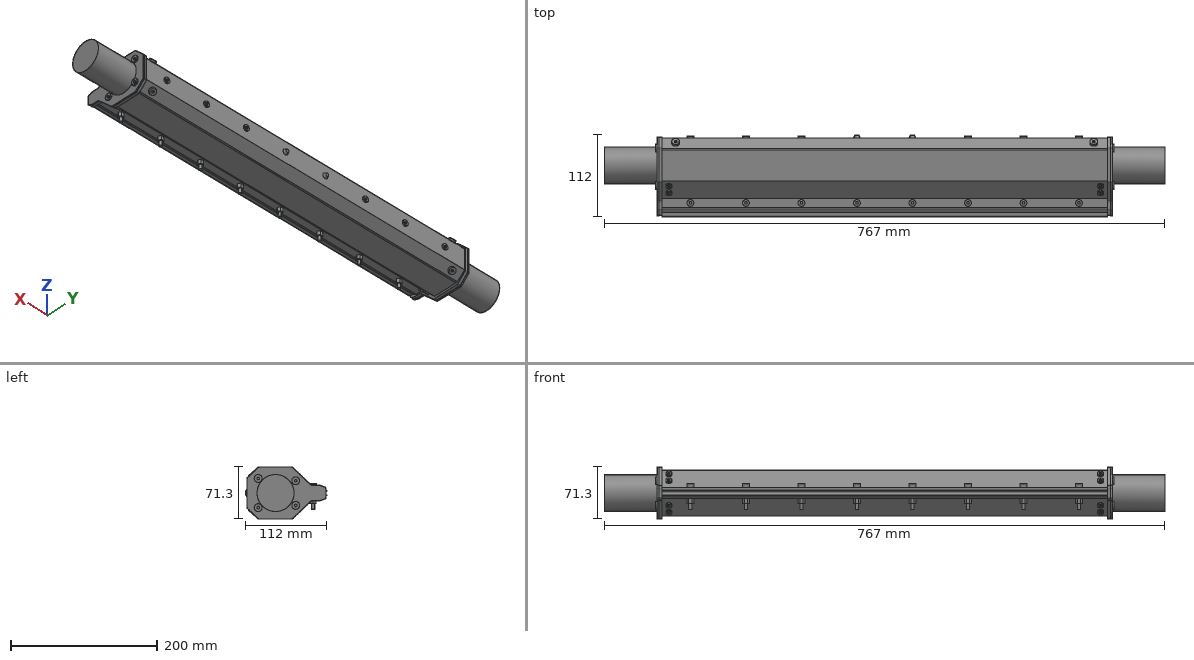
import cadquery as cq
import math

overall_length = 767.0
shaft_diameter = 50.5
cover_outer_x = 311.0
cover_thickness = 2.0
gasket_thickness = 4.5
gasket_inset = 0.4
gasket_outer_x = cover_outer_x - cover_thickness
body_half_length = gasket_outer_x - gasket_thickness

body_half_height = 31.5
body_back_y = 37.5
nose_ledge_z = 8.0
nose_tip_y = -70.5
nose_tip_z = 4.0
nose_lip_z = 3.45
body_back_corner_z = 18.5
body_top_back_y = 21.0
body_top_front_y = -21.5
nose_root_y = body_top_front_y - (body_half_height - nose_ledge_z)
body_upper_half = [
    (body_back_y, body_back_corner_z),
    (23.0, 31.0),
    (body_top_back_y, body_half_height),
    (body_top_front_y, body_half_height),
    (nose_root_y, nose_ledge_z),
    (-57.5, nose_ledge_z),
    (-60.0, 7.0),
    (-64.5, nose_tip_z),
    (-69.0, nose_tip_z),
    (nose_tip_y, nose_lip_z),
]
tip_groove_diameter = 5.0

plate_half_height = 35.65
plate_corner_radius = 2.0
plate_upper_half = [
    (39.0, 21.0),
    (24.0, plate_half_height),
    (-23.0, plate_half_height),
    (-49.0, 11.0),
    (-60.5, 11.0),
    (-69.0, 8.0),
]

head_sink = 1.5
socket_depth = 1.5
socket_width = 4.0

plate_screw_diameter = 11.0
plate_screw_height = 2.0
plate_screw_points = [(24.0, 20.0), (-27.5, 17.0)]

slope_screw_diameter = 8.5
slope_screw_height = 2.0
slope_screw_x = 295.0
slope_screw_ys = [-27.5, -37.0]

chamfer_screw_diameter = 11.0
chamfer_screw_height = 4.0
chamfer_screw_x = 286.0

row_count = 8
row_pitch = 76.0
row_xs = [(i - (row_count - 1) / 2) * row_pitch for i in range(row_count)]
nose_bolt_y = -51.0
nose_bolt_diameter = 9.0
nose_bolt_height = 5.0
nut_height = 7.0
bolt_shank_diameter = 4.5
bolt_end_z = -22.0

back_screw_diameter = 9.0
back_screw_height = 2.0
dome_top_diameter = 5.0
dome_height = 4.0


def mirrored_section(upper_half, x_start, x_end, inset=0):
    """Extrude along X the outline made of an upper half and its mirror in Z, drawn in by `inset`."""
    lower_half = [(y, -z) for y, z in reversed(upper_half)]
    plane = cq.Workplane("YZ", origin=(x_start, 0, 0))
    outline = plane.polyline(upper_half + lower_half).close()
    if inset:
        outline = outline.offset2D(-inset, "intersection")
    return outline.extrude(x_end - x_start)


def screw_head(base, direction, diameter, height):
    """Round head with a hexagon socket, standing on `base` and rooted below it."""
    plane = cq.Plane(origin=base, normal=direction)
    head = cq.Workplane(plane).workplane(offset=-head_sink)
    head = head.circle(diameter / 2).extrude(head_sink + height)
    socket = cq.Workplane(plane).workplane(offset=height - socket_depth)
    return head.cut(socket.polygon(6, socket_width).extrude(socket_depth))


def slope_normal(start, end):
    """Outward unit normal (y, z) of an upper edge running toward -Y."""
    dy = end[0] - start[0]
    dz = end[1] - start[1]
    length = math.hypot(dy, dz)
    return dz / length, -dy / length


def height_on_edge(start, end, y):
    """Z of the point at `y` on the straight edge from start to end."""
    return start[1] + (end[1] - start[1]) * (y - start[0]) / (end[0] - start[0])


def sloped_screws(start, end, xs, ys, diameter, height):
    """Heads square to a sloped housing edge, repeated on the lower side."""
    normal_y, normal_z = slope_normal(start, end)
    heads = []
    for side in (1, -1):
        for x in xs:
            for y in ys:
                base = (x, y, side * height_on_edge(start, end, y))
                heads.append(screw_head(base, (0, normal_y, side * normal_z), diameter, height))
    return heads


def end_plate(x_start, x_end, inset):
    """Plate with rounded corners whose outline lies `inset` inside the full outline."""
    plate = mirrored_section(plate_upper_half, x_start, x_end, inset)
    return plate.edges("|X").fillet(plate_corner_radius)


def end_plates(side):
    """Gasket and cover at one end, with the cover screws."""
    parts = [
        end_plate(side * body_half_length, side * gasket_outer_x, gasket_inset),
        end_plate(side * gasket_outer_x, side * cover_outer_x, 0),
    ]
    for y, z in plate_screw_points:
        for z_side in (1, -1):
            base = (side * cover_outer_x, y, z_side * z)
            parts.append(screw_head(base, (side, 0, 0), plate_screw_diameter, plate_screw_height))
    return parts


def nose_bolt(x):
    """Bolt through the nose: socket head above, hexagon nut and shank end below."""
    head = screw_head((x, nose_bolt_y, nose_ledge_z), (0, 0, 1), nose_bolt_diameter, nose_bolt_height)
    underside = cq.Workplane("XY", origin=(x, nose_bolt_y, -nose_ledge_z))
    nut = underside.polygon(6, nose_bolt_diameter).extrude(-nut_height)
    shank = underside.circle(bolt_shank_diameter / 2).extrude(bolt_end_z + nose_ledge_z)
    return [head, nut, shank]


def back_dome(x):
    """Tapered plug on the back face."""
    base = cq.Workplane("XZ", origin=(x, body_back_y, 0)).circle(back_screw_diameter / 2)
    return base.workplane(offset=-dome_height).circle(dome_top_diameter / 2).loft()


def housing():
    """Long housing with a round groove along the tip of its nose."""
    body = mirrored_section(body_upper_half, -body_half_length, body_half_length)
    groove = cq.Workplane("YZ", origin=(-body_half_length, nose_tip_y, 0))
    return body.cut(groove.circle(tip_groove_diameter / 2).extrude(2 * body_half_length))


parts = [housing()]
for side in (1, -1):
    parts += end_plates(side)

parts += sloped_screws(
    (body_top_front_y, body_half_height), (nose_root_y, nose_ledge_z),
    (-slope_screw_x, slope_screw_x), slope_screw_ys,
    slope_screw_diameter, slope_screw_height,
)
back_edge = body_upper_half[:2]
back_edge_middle_y = (back_edge[0][0] + back_edge[1][0]) / 2
parts += sloped_screws(
    back_edge[0], back_edge[1],
    (-chamfer_screw_x, chamfer_screw_x), [back_edge_middle_y],
    chamfer_screw_diameter, chamfer_screw_height,
)

for x in row_xs:
    parts += nose_bolt(x)
    if abs(x) < row_pitch:
        parts.append(back_dome(x))
    else:
        parts.append(screw_head((x, body_back_y, 0), (0, 1, 0), back_screw_diameter, back_screw_height))

shaft = cq.Workplane("YZ", origin=(-overall_length / 2, 0, 0))
result = shaft.circle(shaft_diameter / 2).extrude(overall_length)
for part in parts:
    result = result.union(part)